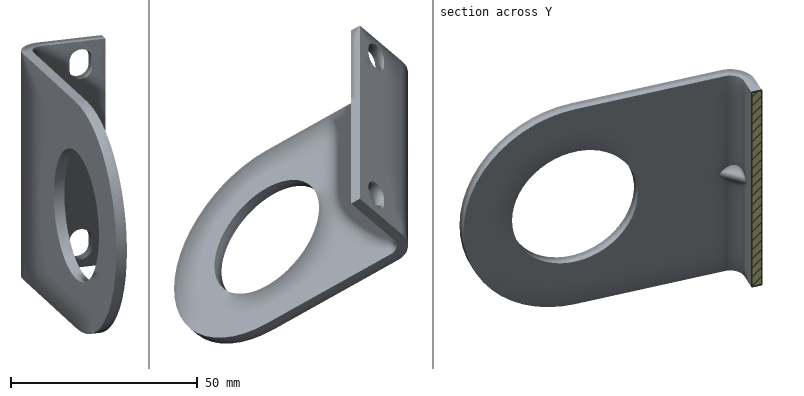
import cadquery as cq
import math

thickness = 3.0
height = 64.0
flange_length = 25.0
bend_outer_radius = 7.0
bend_inner_radius = bend_outer_radius - thickness

end_radius = height / 2
bore_x = 50.0
bore_diameter = 36.1
plate_length = bore_x + end_radius

slot_width = 6.5
slot_length = 8.5
slot_y = 18.0
slot_spacing = 51.0

bead_leg = 5.45
bead_crest_radius = 1.5
bead_flank_angle = 45.0


def make_bent_sheet():
    """L-shaped sheet with a rounded bend, extruded along Z."""
    middle = math.sqrt(0.5)
    bend = bend_outer_radius
    outer_mid = bend - bend_outer_radius * middle
    inner_mid = bend - bend_inner_radius * middle
    return (
        cq.Workplane("XY")
        .workplane(offset=-height / 2)
        .moveTo(0, flange_length)
        .lineTo(0, bend)
        .threePointArc((outer_mid, outer_mid), (bend, 0))
        .lineTo(plate_length, 0)
        .lineTo(plate_length, thickness)
        .lineTo(bend, thickness)
        .threePointArc((inner_mid, inner_mid), (thickness, bend))
        .lineTo(thickness, flange_length)
        .close()
        .extrude(height)
    )


def make_rounded_envelope():
    """Block with a full-round end that trims the large plate."""
    return (
        cq.Workplane("XZ")
        .moveTo(0, -end_radius)
        .lineTo(bore_x, -end_radius)
        .threePointArc((plate_length, 0), (bore_x, end_radius))
        .lineTo(0, end_radius)
        .close()
        .extrude(-flange_length)
    )


def make_bore():
    """Cutter for the large round opening in the plate."""
    return cq.Workplane("XZ").center(bore_x, 0).circle(bore_diameter / 2).extrude(-thickness)


def make_slots():
    """Cutters for the two flange slots."""
    half_spacing = slot_spacing / 2
    return (
        cq.Workplane("YZ")
        .pushPoints([(slot_y, -half_spacing), (slot_y, half_spacing)])
        .slot2D(slot_length, slot_width, 90)
        .extrude(thickness)
    )


def make_bead():
    """V-section bar with a rounded crest, running at 45 degrees between the two inner faces."""
    flank = math.radians(bead_flank_angle)
    crest = bead_leg * math.sqrt(0.5)
    crest_centre = crest - bead_crest_radius
    tangent_depth = crest_centre + bead_crest_radius * math.sin(flank)
    tangent_half_width = bead_crest_radius * math.cos(flank)
    base_half_width = tangent_half_width + tangent_depth / math.tan(flank)
    inner_corner = (thickness, thickness, 0)
    section_plane = cq.Plane(origin=inner_corner, xDir=(1, 1, 0), normal=(1, -1, 0))
    bar = (
        cq.Workplane(section_plane)
        .moveTo(0, -base_half_width)
        .lineTo(tangent_depth, -tangent_half_width)
        .threePointArc((crest, 0), (tangent_depth, tangent_half_width))
        .lineTo(0, base_half_width)
        .close()
        .extrude(bead_leg, both=True)
    )
    corner_space = (
        cq.Workplane("XY")
        .box(2 * bead_leg, 2 * bead_leg, height, centered=(False, False, True))
        .translate(inner_corner)
    )
    return bar.intersect(corner_space)


result = (
    make_bent_sheet()
    .intersect(make_rounded_envelope())
    .cut(make_bore())
    .cut(make_slots())
    .union(make_bead())
)